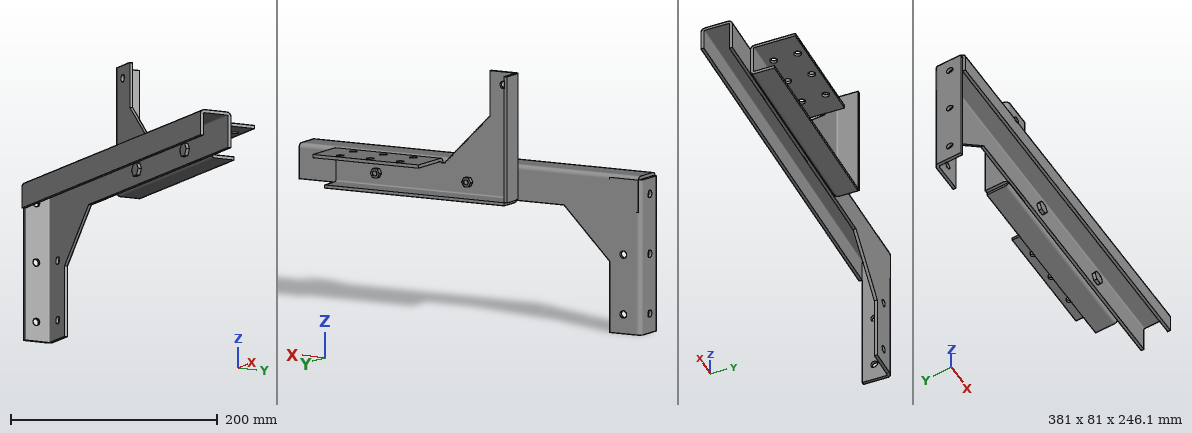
import cadquery as cq
import math


thickness = 3.175
bend_radius = 4.7625
hole_diameter = 7.14375
gusset_size = 50.8

front_length = 381.0
front_height = 155.575
front_depth = 33.3375
front_arm = 34.925
lip_drop = 25.4
end_hole_margin = 19.05
end_hole_count = 3
end_hole_pitch = (front_height - 2 * end_hole_margin) / (end_hole_count - 1)
plate_hole_x = 19.84375
end_flange_hole_y = -17.4625

rear_left = 134.9375
rear_length = 203.2
rear_top = 90.55
rear_height = 127.0
rear_bottom = rear_top - rear_height
rear_right = rear_left + rear_length
rear_flange_depth = 25.4
post_width = 31.75
post_hole_x = rear_left + 16.66875
post_hole_drop = 12.7

shelf_length = 117.475
shelf_depth = 47.625
shelf_left = rear_right - shelf_length
shelf_hole_margin = 25.4
shelf_hole_columns = 3
shelf_hole_rows = 2
shelf_hole_pitch_x = (shelf_length - 2 * shelf_hole_margin) / (shelf_hole_columns - 1)
shelf_hole_pitch_y = 25.4
shelf_hole_edge = 8.73125

bolt_diameter = 5.0
bolt_z = -20.6375
bolt_pitch = 101.6
bolt_left = rear_left + 55.5625
bolt_positions = [(bolt_left, bolt_z), (bolt_left + bolt_pitch, bolt_z)]
head_width = 12.0
head_height = 3.5
nut_width = 8.73125
nut_height = 4.6
bolt_tip = 0.6


def block(x_min, x_max, y_min, y_max, z_min, z_max):
    size = (x_max - x_min, y_max - y_min, z_max - z_min)
    return cq.Workplane("XY").box(*size, centered=False).translate((x_min, y_min, z_min))


def bent_sheet(x_range, y_range, z_range, bends, hollow_shift):
    """Outer block rounded along its bends, less the same block moved inward to leave a sheet.

    `hollow_shift` gives the shift of the hollow's limits, in sheet thicknesses, in the order
    x_min, x_max, y_min, y_max, z_min, z_max. A side with sheet moves inward by one and an open
    side moves outward by one.
    """
    outer = block(*x_range, *y_range, *z_range).edges(bends).fillet(bend_radius)
    hollow_limits = [
        limit + steps * thickness for limit, steps in zip((*x_range, *y_range, *z_range), hollow_shift)
    ]
    hollow = block(*hollow_limits).edges(bends).fillet(bend_radius - thickness)
    return outer.cut(hollow)


def cylinders_along_x(points_yz, diameter, x_start, x_end):
    start_plane = cq.Workplane("YZ", origin=(x_start, 0, 0))
    return start_plane.pushPoints(points_yz).circle(diameter / 2).extrude(x_end - x_start)


def cylinders_along_y(points_xz, diameter, y_start, y_end):
    start_plane = cq.Workplane("XZ", origin=(0, y_start, 0))
    return start_plane.pushPoints(points_xz).circle(diameter / 2).extrude(y_start - y_end)


def make_front_bracket():
    channel = bent_sheet(
        (thickness, front_length), (-front_depth, 0), (-front_arm, 0), "|X and >Z", (-1, 1, 1, -1, -1, -1)
    )
    below_lip = block(thickness, front_length, -front_depth, -thickness, -front_arm, -lip_drop)
    end_angle = bent_sheet(
        (0, front_arm),
        (thickness - front_depth, 0),
        (-front_height, -thickness),
        "|Z and <X and >Y",
        (1, 1, -1, -1, -1, 1),
    )
    gusset = (
        cq.Workplane("XZ")
        .polyline([
            (front_arm, -front_arm),
            (front_arm + gusset_size, -front_arm),
            (front_arm, -front_arm - gusset_size),
        ])
        .close()
        .extrude(thickness)
    )
    bracket = channel.cut(below_lip).union(end_angle).union(gusset)

    end_hole_heights = [-end_hole_margin - i * end_hole_pitch for i in range(end_hole_count)]
    end_points = [(end_flange_hole_y, z) for z in end_hole_heights]
    bracket = bracket.cut(cylinders_along_x(end_points, hole_diameter, 0, thickness))
    plate_points = [(plate_hole_x, z) for z in end_hole_heights[1:]]
    bracket = bracket.cut(cylinders_along_y(plate_points, hole_diameter, 0, -thickness))
    return bracket.cut(cylinders_along_y(bolt_positions, bolt_diameter, 0, -thickness))


def make_rear_bracket():
    post = bent_sheet(
        (rear_left, rear_left + post_width),
        (0, rear_flange_depth),
        (rear_bottom + thickness, rear_top),
        "|Z and <X and <Y",
        (1, 1, 1, 1, -1, 1),
    )
    lower_plate = bent_sheet(
        (rear_left + thickness, rear_right),
        (0, rear_flange_depth),
        (rear_bottom, -bend_radius),
        "|X and <Y and <Z",
        (-1, 1, 1, 1, 1, 1),
    )
    shelf = bent_sheet(
        (shelf_left, rear_right),
        (0, shelf_depth),
        (rear_bottom + bend_radius, 0),
        "|X and <Y and >Z",
        (-1, 1, 1, 1, -1, -1),
    )
    post_right = rear_left + post_width
    gusset_bottom = -bend_radius
    gusset = (
        cq.Workplane("XZ")
        .polyline([
            (post_right, gusset_bottom),
            (post_right + gusset_size, gusset_bottom),
            (post_right, gusset_bottom + gusset_size),
        ])
        .close()
        .extrude(-thickness)
    )
    bracket = post.union(lower_plate).union(shelf).union(gusset)

    bracket = bracket.cut(
        cylinders_along_y([(post_hole_x, rear_top - post_hole_drop)], hole_diameter, thickness, 0)
    )
    last_row_y = shelf_depth - shelf_hole_edge
    shelf_points = [
        (shelf_left + shelf_hole_margin + column * shelf_hole_pitch_x, last_row_y - row * shelf_hole_pitch_y)
        for column in range(shelf_hole_columns)
        for row in range(shelf_hole_rows)
    ]
    shelf_drill = cq.Workplane("XY").pushPoints(shelf_points).circle(hole_diameter / 2).extrude(-thickness)
    bracket = bracket.cut(shelf_drill)
    return bracket.cut(cylinders_along_y(bolt_positions, bolt_diameter, thickness, 0))


def hexagon_along_y(position, width, y_start, y_end):
    """Hexagonal prism with two corners pointing along X."""
    corner_diameter = width / math.cos(math.radians(30))
    start_plane = cq.Workplane("XZ", origin=(0, y_start, 0))
    return start_plane.pushPoints([position]).polygon(6, corner_diameter).extrude(y_start - y_end)


def make_bolt(position):
    head_start = -thickness
    shank_end = thickness + nut_height + bolt_tip
    head = hexagon_along_y(position, head_width, head_start, head_start - head_height)
    shank = cylinders_along_y([position], bolt_diameter, shank_end, head_start)
    return head.union(shank)


def make_nut(position):
    nut = hexagon_along_y(position, nut_width, thickness + nut_height, thickness)
    return nut.cut(cylinders_along_y([position], bolt_diameter, thickness + nut_height, thickness))


front_bracket = make_front_bracket()
rear_bracket = make_rear_bracket()
bolts = [make_bolt(position) for position in bolt_positions]
nuts = [make_nut(position) for position in bolt_positions]

result = cq.Compound.makeCompound([
    front_bracket.val(),
    rear_bracket.val(),
    *[bolt.val() for bolt in bolts],
    *[nut.val() for nut in nuts],
])